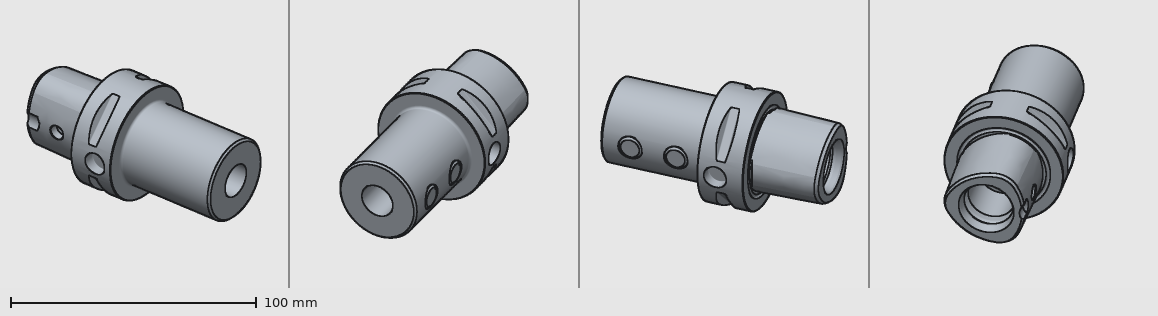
import cadquery as cq
import math


TOTAL_LENGTH = 95.0
FLANGE_START = 29.9
FLANGE_END = 50.0

FLANGE_RADIUS = 25.0
FLANGE_CHAMFER = 0.3
SHANK_RADIUS = 18.0
SHANK_CHAMFER = 0.95
SHANK_ROOT_FILLET = 1.1

LOBE_COUNT = 3
LOBE_OFFSET = 8.3
TAPER_SLOPE = 1 / 40
TAPER_END = 28.0
TAPER_TIP_HALF_WIDTH = 16.8
TAPER_END_HALF_WIDTH = TAPER_TIP_HALF_WIDTH + TAPER_SLOPE * TAPER_END
NOSE_CHAMFER_LENGTH = 1.5
NOSE_CHAMFER_DEPTH = 0.9

NECK_RADIUS = 17.7
NECK_RELIEF_DEPTH = 1.0
NECK_RELIEF_START = TAPER_END + 0.1

FACE_GROOVE_INNER_RADIUS = 17.8
FACE_GROOVE_OUTER_RADIUS = 19.6

BORE_RADIUS = 7.2
BORE_CHAMFER = 0.95
COUNTERBORE_RADIUS = 9.9
COUNTERBORE_DEPTH = 26.6
MOUTH_RADIUS = 11.6
MOUTH_CHAMFER_RADIUS = 11.0
MOUTH_CHAMFER_DEPTH = 0.95
LIP_RADIUS = 10.4
LIP_START = 3.1
LIP_END = 4.6
CLAMP_GROOVE_RADIUS = 11.8
CLAMP_GROOVE_FLOOR_START = 6.1
CLAMP_GROOVE_FLOOR_END = 7.2
CLAMP_GROOVE_CONE_START = 8.3
CLAMP_GROOVE_CONE_RADIUS = 11.3
CLAMP_GROOVE_END = 9.3

NOTCH_RADIUS = 4.5
NOTCH_AXIS_Y = -18.3
NOTCH_DEPTH = 5.7
NOTCH_TIP_LENGTH = 3.0

SIDE_HOLE_X = 16.0
SIDE_HOLE_RADIUS = 3.1
SIDE_HOLE_MOUTH_RADIUS = 3.6
SIDE_HOLE_BOTTOM_Y = -11.9
SIDE_HOLE_TIP_LENGTH = 1.8
SIDE_HOLE_MOUTH_BOTTOM_Y = -15.8

SLOT_COUNT = 4
SLOT_X = 40.0
SLOT_FLOOR_WIDTH = 3.6
SLOT_FLOOR_DISTANCE = 22.2
SLOT_WALL_ANGLE = 30.0
SLOT_FILLET = 0.5
POCKET_X = 42.1
POCKET_RADIUS = 4.9
POCKET_DEPTH = 5.0
POCKET_FLOOR_FILLET = 0.3

SCREW_RADIUS = 5.2
SCREW_CHAMFER = 1.1
SCREW_POSITIONS = (62.0, 82.0)


def lobed_wire(x, half_width):
    """Closed three-lobed outline in the plane at the given X; one lobe points to +Y."""
    lobe_radius = half_width - LOBE_OFFSET * math.sqrt(3) / 2
    flank_radius = 2 * half_width - lobe_radius
    step = 2 * math.pi / LOBE_COUNT
    half_span = step / 4

    def point(centre_angle, radius, normal_angle):
        return cq.Vector(
            x,
            LOBE_OFFSET * math.cos(centre_angle) + radius * math.cos(normal_angle),
            LOBE_OFFSET * math.sin(centre_angle) + radius * math.sin(normal_angle),
        )

    edges = []
    for index in range(LOBE_COUNT):
        lobe = index * step
        flank = lobe + step / 2
        for middle, centre, radius in (
            (lobe, lobe, lobe_radius),
            (flank, flank + math.pi, flank_radius),
        ):
            arc_points = [point(centre, radius, middle + turn) for turn in (-half_span, 0, half_span)]
            edges.append(cq.Edge.makeThreePointArc(*arc_points))
    return cq.Wire.assembleEdges(edges)


def lobed_solid(start, start_half_width, end, end_half_width):
    wires = [lobed_wire(start, start_half_width), lobed_wire(end, end_half_width)]
    return cq.Workplane(cq.Solid.makeLoft(wires, True))


def revolve_about_x(profile):
    return profile.close().revolve(360, (0, 0, 0), (1, 0, 0))


def make_taper():
    nose_half_width = TAPER_TIP_HALF_WIDTH + TAPER_SLOPE * NOSE_CHAMFER_LENGTH
    nose = lobed_solid(0, nose_half_width - NOSE_CHAMFER_DEPTH, NOSE_CHAMFER_LENGTH, nose_half_width)
    cone = lobed_solid(NOSE_CHAMFER_LENGTH, nose_half_width, TAPER_END, TAPER_END_HALF_WIDTH)
    neck = lobed_solid(TAPER_END, TAPER_END_HALF_WIDTH, FLANGE_START, TAPER_END_HALF_WIDTH)
    relief = revolve_about_x(
        cq.Workplane("XY")
        .moveTo(TAPER_END, 0)
        .lineTo(TAPER_END, NECK_RADIUS + NECK_RELIEF_DEPTH)
        .lineTo(NECK_RELIEF_START, NECK_RADIUS + NECK_RELIEF_DEPTH)
        .lineTo(NECK_RELIEF_START + NECK_RELIEF_DEPTH, NECK_RADIUS)
        .lineTo(FLANGE_START, NECK_RADIUS)
        .lineTo(FLANGE_START, 0)
    )
    return nose.union(cone).union(neck.intersect(relief))


def make_flange_and_shank():
    groove_mid = (FACE_GROOVE_INNER_RADIUS + FACE_GROOVE_OUTER_RADIUS) / 2
    groove_depth = (FACE_GROOVE_OUTER_RADIUS - FACE_GROOVE_INNER_RADIUS) / 2
    fillet_bulge = SHANK_ROOT_FILLET * (1 - math.sqrt(0.5))
    return revolve_about_x(
        cq.Workplane("XY")
        .moveTo(FLANGE_START, 0)
        .lineTo(FLANGE_START, FACE_GROOVE_INNER_RADIUS)
        .threePointArc((FLANGE_START + groove_depth, groove_mid), (FLANGE_START, FACE_GROOVE_OUTER_RADIUS))
        .lineTo(FLANGE_START, FLANGE_RADIUS - FLANGE_CHAMFER)
        .lineTo(FLANGE_START + FLANGE_CHAMFER, FLANGE_RADIUS)
        .lineTo(FLANGE_END - FLANGE_CHAMFER, FLANGE_RADIUS)
        .lineTo(FLANGE_END, FLANGE_RADIUS - FLANGE_CHAMFER)
        .lineTo(FLANGE_END, SHANK_RADIUS + SHANK_ROOT_FILLET)
        .threePointArc(
            (FLANGE_END + fillet_bulge, SHANK_RADIUS + fillet_bulge),
            (FLANGE_END + SHANK_ROOT_FILLET, SHANK_RADIUS),
        )
        .lineTo(TOTAL_LENGTH - SHANK_CHAMFER, SHANK_RADIUS)
        .lineTo(TOTAL_LENGTH, SHANK_RADIUS - SHANK_CHAMFER)
        .lineTo(TOTAL_LENGTH, 0)
    )


def make_bore():
    """Stepped bore: mouth, lip, clamping groove, counterbore and through hole."""
    return revolve_about_x(
        cq.Workplane("XY")
        .lineTo(0, MOUTH_RADIUS)
        .lineTo(MOUTH_CHAMFER_DEPTH, MOUTH_CHAMFER_RADIUS)
        .lineTo(LIP_START, LIP_RADIUS)
        .lineTo(LIP_END, LIP_RADIUS)
        .lineTo(CLAMP_GROOVE_FLOOR_START, CLAMP_GROOVE_RADIUS)
        .lineTo(CLAMP_GROOVE_FLOOR_END, CLAMP_GROOVE_RADIUS)
        .tangentArcPoint((CLAMP_GROOVE_CONE_START, CLAMP_GROOVE_CONE_RADIUS), relative=False)
        .lineTo(CLAMP_GROOVE_END, COUNTERBORE_RADIUS)
        .lineTo(COUNTERBORE_DEPTH, COUNTERBORE_RADIUS)
        .lineTo(COUNTERBORE_DEPTH, BORE_RADIUS + BORE_CHAMFER)
        .lineTo(COUNTERBORE_DEPTH + BORE_CHAMFER, BORE_RADIUS)
        .lineTo(TOTAL_LENGTH, BORE_RADIUS)
        .lineTo(TOTAL_LENGTH, 0)
    )


def make_key_notch():
    """Round-ended cutter with a conical tip, lying parallel to X."""
    axis_start = (0, NOTCH_AXIS_Y, 0)
    axis_end = (1, NOTCH_AXIS_Y, 0)
    return (
        cq.Workplane("XY")
        .moveTo(0, NOTCH_AXIS_Y)
        .lineTo(0, NOTCH_AXIS_Y + NOTCH_RADIUS)
        .lineTo(NOTCH_DEPTH, NOTCH_AXIS_Y + NOTCH_RADIUS)
        .lineTo(NOTCH_DEPTH + NOTCH_TIP_LENGTH, NOTCH_AXIS_Y)
        .close()
        .revolve(360, axis_start, axis_end)
    )


def make_side_hole():
    """Countersunk blind hole with a drill-point bottom, along Y."""
    outside_y = -FLANGE_RADIUS
    mouth_step = SIDE_HOLE_MOUTH_RADIUS - SIDE_HOLE_RADIUS
    return (
        cq.Workplane("XY")
        .moveTo(SIDE_HOLE_X, outside_y)
        .lineTo(SIDE_HOLE_X + SIDE_HOLE_MOUTH_RADIUS, outside_y)
        .lineTo(SIDE_HOLE_X + SIDE_HOLE_MOUTH_RADIUS, SIDE_HOLE_MOUTH_BOTTOM_Y - mouth_step)
        .lineTo(SIDE_HOLE_X + SIDE_HOLE_RADIUS, SIDE_HOLE_MOUTH_BOTTOM_Y)
        .lineTo(SIDE_HOLE_X + SIDE_HOLE_RADIUS, SIDE_HOLE_BOTTOM_Y)
        .lineTo(SIDE_HOLE_X, SIDE_HOLE_BOTTOM_Y + SIDE_HOLE_TIP_LENGTH)
        .close()
        .revolve(360, (SIDE_HOLE_X, 0, 0), (SIDE_HOLE_X, 1, 0))
    )


def make_gripper_slot(angle):
    """Slot with sloping walls, cut straight across the rim on the given side."""
    height = FLANGE_RADIUS - SLOT_FLOOR_DISTANCE
    floor_half = SLOT_FLOOR_WIDTH / 2
    top_half = floor_half + height * math.tan(math.radians(SLOT_WALL_ANGLE))
    return (
        cq.Workplane("XY")
        .moveTo(SLOT_X - floor_half, SLOT_FLOOR_DISTANCE)
        .lineTo(SLOT_X + floor_half, SLOT_FLOOR_DISTANCE)
        .lineTo(SLOT_X + top_half, FLANGE_RADIUS)
        .lineTo(SLOT_X - top_half, FLANGE_RADIUS)
        .close()
        .extrude(FLANGE_RADIUS, both=True)
        .edges("<Y and |Z")
        .fillet(SLOT_FILLET)
        .rotate((0, 0, 0), (1, 0, 0), angle)
    )


def cylinder_along_y(x, radius, start_y, end_y):
    axis = cq.Vector(0, end_y - start_y, 0)
    return cq.Workplane(cq.Solid.makeCylinder(radius, abs(end_y - start_y), cq.Vector(x, start_y, 0), axis))


def make_housing():
    housing = make_taper().union(make_flange_and_shank())
    housing = housing.cut(make_bore()).cut(make_key_notch()).cut(make_side_hole())
    for index in range(SLOT_COUNT):
        housing = housing.cut(make_gripper_slot((index + 0.5) * 360 / SLOT_COUNT))
    for side in (-1, 1):
        floor_y = side * (FLANGE_RADIUS - POCKET_DEPTH)
        pocket = cylinder_along_y(POCKET_X, POCKET_RADIUS, floor_y, side * FLANGE_RADIUS)
        floor_edge = cq.NearestToPointSelector((POCKET_X, floor_y, 0))
        housing = housing.cut(pocket.faces(floor_edge).edges().fillet(POCKET_FLOOR_FILLET))
    for x in SCREW_POSITIONS:
        housing = housing.cut(cylinder_along_y(x, SCREW_RADIUS, 0, FLANGE_RADIUS))
    return housing


def make_set_screw(x):
    """Screw flush with the shank, reaching in to the bore surface."""
    return cylinder_along_y(x, SCREW_RADIUS, BORE_RADIUS, SHANK_RADIUS).faces(">Y").chamfer(SCREW_CHAMFER)


housing = make_housing()
set_screws = [make_set_screw(x) for x in SCREW_POSITIONS]

result = cq.Compound.makeCompound([housing.val(), *[screw.val() for screw in set_screws]])